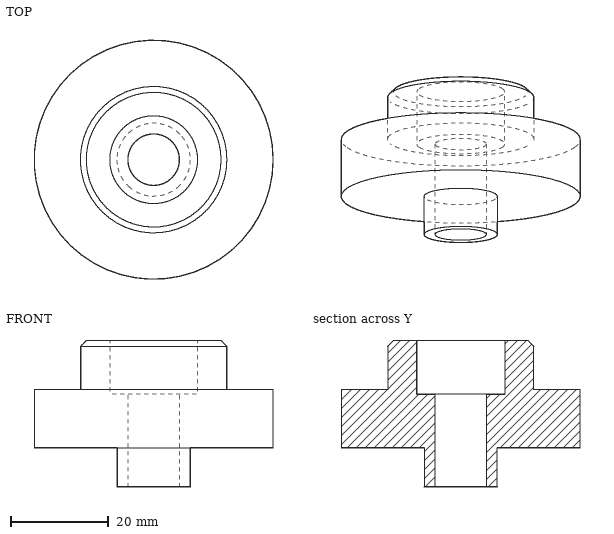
import cadquery as cq

flange_diameter = 49.0
flange_height = 12.0

boss_diameter = 30.0
boss_height = 10.0
boss_chamfer = 1.2

spigot_diameter = 15.0
spigot_height = 8.0

bore_diameter = 10.5
counterbore_diameter = 18.0
counterbore_depth = 11.0

flange_bottom = spigot_height
flange_top = flange_bottom + flange_height
boss_top = flange_top + boss_height


def cylinder(diameter, bottom, top):
    """Upright cylinder on the Z axis between two levels."""
    return cq.Workplane("XY").workplane(offset=bottom).circle(diameter / 2).extrude(top - bottom)


spigot = cylinder(spigot_diameter, 0, flange_bottom)
flange = cylinder(flange_diameter, flange_bottom, flange_top)
boss = cylinder(boss_diameter, flange_top, boss_top).faces(">Z").chamfer(boss_chamfer)

bore = cylinder(bore_diameter, 0, boss_top)
counterbore = cylinder(counterbore_diameter, boss_top - counterbore_depth, boss_top)

result = flange.union(boss).union(spigot).cut(bore).cut(counterbore)